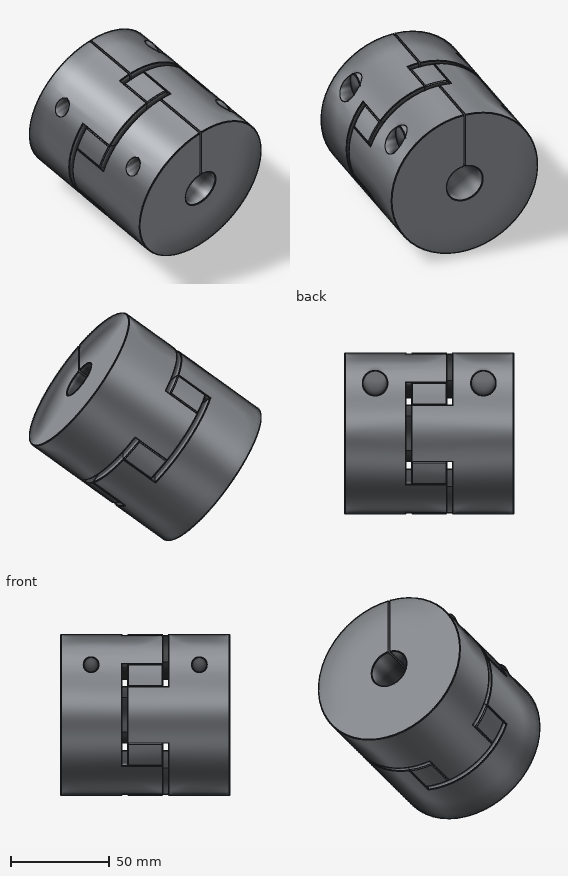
import cadquery as cq
import math


length = 86.0
outer_radius = 41.0
hub_length = 31.3
end_gap = 2.7
spider_width = length - 2 * (hub_length + end_gap)
jaw_length = end_gap + spider_width

bore_radius = 10.0
hub_chamfer = 0.35
slit_width = 1.0

jaw_count = 3
leg_count = 2 * jaw_count
leg_pitch = 360 / leg_count
jaw_inner_radius = 27.4
leg_tip_half_width = 6.5
leg_root_half_width = 5.4
flank_radius = 25.8
spider_bore_radius = 13.9
leg_chamfer = 0.5

screw_x = 27.5
screw_z = 25.5
screw_diameter = 8.0
head_diameter = 13.0
head_length = 8.0
screw_chamfer = 0.35
head_end_y = 28.7
head_seat_y = head_end_y - head_length
screw_tip_y = -25.45


def polar(radius, angle):
    """Point in the YZ plane; the angle is in degrees from +Y towards +Z."""
    return (radius * math.cos(math.radians(angle)), radius * math.sin(math.radians(angle)))


def flank_polar():
    """Root, middle and tip of a leg flank as (radius, angle from the leg's centre line)."""
    root = (math.sqrt(jaw_inner_radius**2 - leg_root_half_width**2), leg_root_half_width)
    tip = (math.sqrt(outer_radius**2 - leg_tip_half_width**2), leg_tip_half_width)
    run = tip[0] - root[0]
    rise = tip[1] - root[1]
    chord = math.hypot(run, rise)
    bulge = flank_radius - math.sqrt(flank_radius**2 - (chord / 2) ** 2)
    middle = (
        (root[0] + tip[0]) / 2 - bulge * rise / chord,
        (root[1] + tip[1]) / 2 + bulge * run / chord,
    )
    return [(math.hypot(u, v), math.degrees(math.atan2(v, u))) for u, v in (root, middle, tip)]


def sector(centre_angle, half_angles, x_start, x_length):
    """Prism between the jaw inner radius and the outside, with arc flanks at the half angles."""
    radii = [radius for radius, _ in flank_polar()]
    left = [polar(r, centre_angle + a) for r, a in zip(radii, half_angles)]
    right = [polar(r, centre_angle - a) for r, a in zip(radii, half_angles)]
    return (
        cq.Workplane("YZ", origin=(x_start, 0, 0))
        .moveTo(*right[0])
        .threePointArc(right[1], right[2])
        .threePointArc(polar(outer_radius, centre_angle), left[2])
        .threePointArc(left[1], left[0])
        .threePointArc(polar(jaw_inner_radius, centre_angle), right[0])
        .close()
        .extrude(x_length)
    )


def disc(radius, x_start, x_length):
    """Solid cylinder on the coupling axis."""
    return cq.Workplane("YZ", origin=(x_start, 0, 0)).circle(radius).extrude(x_length)


def y_cylinder(diameter, x, y_start, y_end):
    """Cylinder along Y on the axis of a clamp screw."""
    return (
        cq.Workplane("XZ", origin=(x, y_start, screw_z))
        .circle(diameter / 2)
        .extrude(y_start - y_end)
    )


def make_hub(side, first_slot_angle):
    """Clamping hub with jaws, at the -X end (side -1) or the +X end (side +1)."""
    outer_face = side * length / 2
    inner_face = outer_face - side * hub_length
    jaw_end = inner_face - side * jaw_length
    clamp_start = min(outer_face, inner_face)
    jaw_start = min(inner_face, jaw_end)

    hub = disc(outer_radius, min(outer_face, jaw_end), hub_length + jaw_length)
    hub = hub.cut(disc(bore_radius, clamp_start, hub_length))

    hub = hub.cut(disc(jaw_inner_radius, jaw_start, jaw_length))
    slot_half_angles = [leg_pitch / 2 + angle for _, angle in flank_polar()]
    for i in range(jaw_count):
        slot_angle = first_slot_angle + i * 360 / jaw_count
        hub = hub.cut(sector(slot_angle, slot_half_angles, jaw_start, jaw_length))

    end_selector = "<X" if side < 0 else ">X"
    mouth = hub.faces(end_selector).edges("%CIRCLE").sort(lambda edge: edge.Length())[0]
    hub = mouth.chamfer(hub_chamfer)

    outer_surface = hub.faces("%CYLINDER").sort(lambda face: -face.Area())[0]
    hub = outer_surface.edges().chamfer(hub_chamfer)

    slit = cq.Workplane("XY", origin=(clamp_start, 0, 0)).box(
        hub_length, slit_width, outer_radius, centered=(False, True, False)
    )
    hub = hub.cut(slit)

    x = side * screw_x
    hub = hub.cut(y_cylinder(screw_diameter, x, -outer_radius, outer_radius))
    return hub.cut(y_cylinder(head_diameter, x, head_seat_y, outer_radius))


def make_spider():
    """Elastic ring with one leg in every space between neighbouring jaws."""
    start = -spider_width / 2
    spider = disc(jaw_inner_radius, start, spider_width)
    leg_half_angles = [angle for _, angle in flank_polar()]
    leg = sector(90, leg_half_angles, start, spider_width)
    leg = leg.faces(">Z").edges().chamfer(leg_chamfer)
    for i in range(leg_count):
        spider = spider.union(leg.rotate((0, 0, 0), (1, 0, 0), i * leg_pitch))
    return spider.cut(disc(spider_bore_radius, start, spider_width))


def make_screw(side):
    """Clamp screw with a cylindrical head towards +Y."""
    shank = y_cylinder(screw_diameter, side * screw_x, screw_tip_y, head_seat_y)
    shank = shank.faces("<Y").edges().chamfer(screw_chamfer)
    head = y_cylinder(head_diameter, side * screw_x, head_seat_y, head_end_y)
    head = head.faces(">Y").edges().chamfer(screw_chamfer)
    return shank.union(head)


hubs = [make_hub(-1, leg_pitch), make_hub(1, 0)]
spider = make_spider()
screws = [make_screw(side) for side in (-1, 1)]

result = cq.Compound.makeCompound([body.val() for body in (*hubs, spider, *screws)])